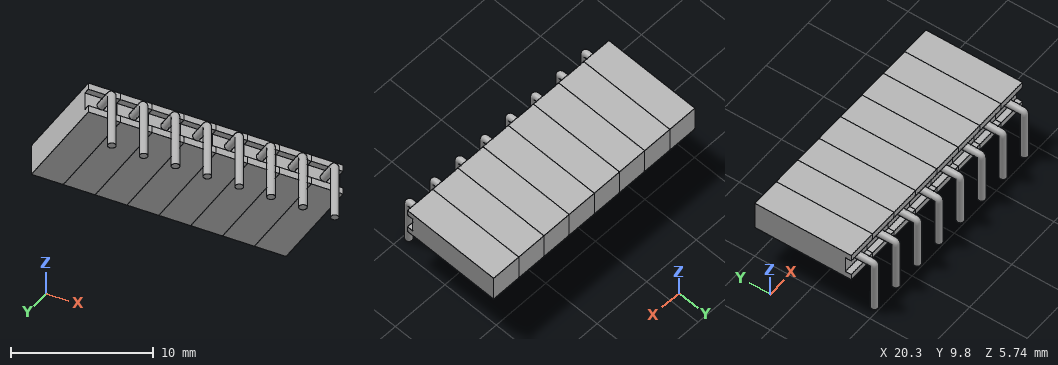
import cadquery as cq
import math

module_count = 8
row_length = 20.32
pitch = row_length / module_count

housing_depth = 8.4
housing_height = pitch
groove_depth = 0.5
groove_height = 1.42

pin_diameter = 0.6
pin_radius = pin_diameter / 2
pin_overhang = 1.4
pin_drop = 3.2
bend_radius = 0.2

housing_mid_z = housing_height / 2
bend_y = -pin_overhang + pin_radius + bend_radius
bend_z = housing_mid_z - bend_radius


def make_housing(center_x):
    """Rectangular block with a groove along its front face."""
    block = cq.Workplane("XY").box(pitch, housing_depth, housing_height, centered=(True, False, False))
    groove = (
        cq.Workplane("XY")
        .box(pitch, groove_depth, groove_height, centered=(True, False, True))
        .translate((0, 0, housing_mid_z))
    )
    return block.cut(groove).translate((center_x, 0, 0))


def make_bend():
    """Quarter turn of the pin section about the bend axis, which runs along X."""
    section_plane = cq.Plane(origin=(0, bend_y, bend_z), xDir=(1, 0, 0), normal=(0, -1, 0))
    axis_half_chord = math.sqrt(pin_radius**2 - bend_radius**2)
    return (
        cq.Workplane(section_plane)
        .moveTo(-axis_half_chord, 0)
        .threePointArc((0, bend_radius + pin_radius), (axis_half_chord, 0))
        .close()
        .revolve(90, (0, 0), (1, 0))
    )


def make_pin(center_x):
    """Horizontal leg out of the groove, bend, and vertical leg down to the tip."""
    horizontal_leg = (
        cq.Workplane(cq.Plane(origin=(0, bend_y, housing_mid_z), normal=(0, 1, 0)))
        .circle(pin_radius)
        .extrude(groove_depth - bend_y)
    )
    vertical_leg = (
        cq.Workplane("XY", origin=(0, bend_y - bend_radius, -pin_drop))
        .circle(pin_radius)
        .extrude(pin_drop + bend_z)
    )
    return horizontal_leg.union(make_bend()).union(vertical_leg).translate((center_x, 0, 0))


def make_module(index):
    """One connector module: a housing and its pin as a single solid."""
    center_x = (index - (module_count - 1) / 2) * pitch
    return make_housing(center_x).union(make_pin(center_x))


modules = [make_module(index).solids().val() for index in range(module_count)]

result = cq.Compound.makeCompound(modules)